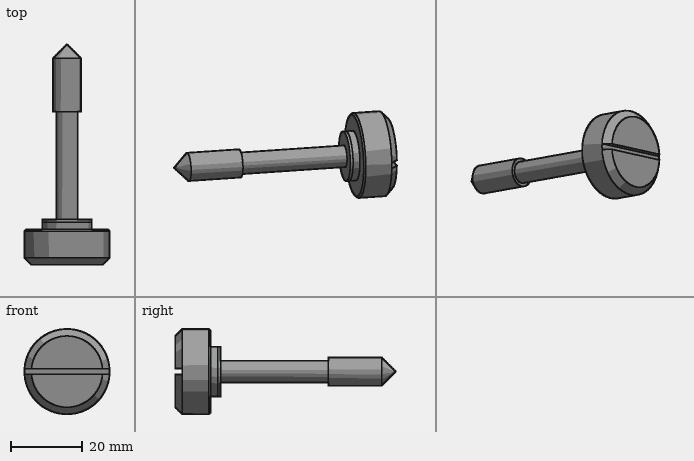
import cadquery as cq

total_length = 62.0

head_diameter = 24.0
head_length = 10.0
front_chamfer = 2.0
back_chamfer = 0.5
slot_width = 1.6
slot_depth = front_chamfer

collar_diameter = 14.0
collar_length = 2.0
washer_diameter = collar_diameter
washer_thickness = 0.8

shank_diameter = 6.15
tip_diameter = 8.0
tip_length = 19.0
point_length = tip_diameter / 2

collar_end = head_length + collar_length
tip_start = total_length - tip_length


def rod(diameter, start, end):
    """Solid cylinder along +Y between two stations."""
    return (
        cq.Workplane("XZ", origin=(0, start, 0))
        .circle(diameter / 2)
        .extrude(start - end)
    )


def make_head():
    """Chamfered disc with a screwdriver slot across its front face."""
    head = (
        rod(head_diameter, 0, head_length)
        .faces("<Y").chamfer(front_chamfer)
        .faces(">Y").chamfer(back_chamfer)
    )
    slot = cq.Workplane("XY").box(
        head_diameter, slot_depth, slot_width, centered=(True, False, True)
    )
    return head.cut(slot)


def make_tip():
    """Thick end of the shank, finished with a sharp cone."""
    radius = tip_diameter / 2
    return (
        cq.Workplane("XY")
        .moveTo(0, tip_start)
        .lineTo(radius, tip_start)
        .lineTo(radius, total_length - point_length)
        .lineTo(0, total_length)
        .close()
        .revolve(360, (0, 0, 0), (0, 1, 0))
    )


def make_screw():
    """Head, collar, shank and tip as one solid."""
    collar = rod(collar_diameter, head_length, collar_end)
    shank = rod(shank_diameter, collar_end, tip_start)
    return make_head().union(collar).union(shank).union(make_tip())


def make_washer():
    """Flat ring around the shank, resting on the collar."""
    washer_end = collar_end + washer_thickness
    bore = rod(shank_diameter, collar_end, washer_end)
    return rod(washer_diameter, collar_end, washer_end).cut(bore)


screw = make_screw()
washer = make_washer()

result = cq.Compound.makeCompound([screw.val(), washer.val()])